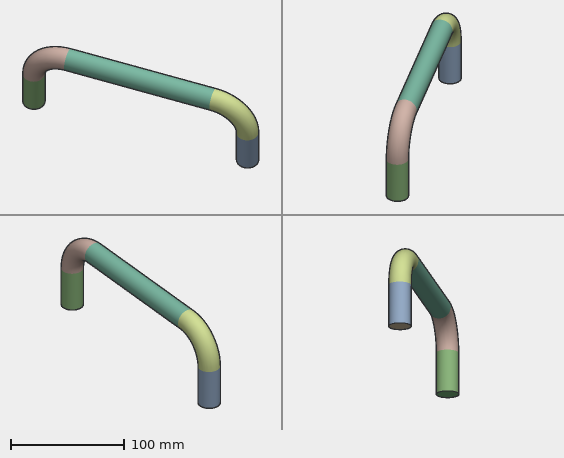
import cadquery as cq
import math

bar_diameter = 20.0
leg_spacing = 200.0
handle_height = 80.0
bend_radius = 32.0

bar_radius = bar_diameter / 2
leg_x = leg_spacing / 2
grip_z = handle_height - bar_radius
bend_start_z = grip_z - bend_radius
grip_end_x = leg_x - bend_radius
bend_mid_offset = bend_radius * math.sin(math.radians(45))


def bend_midpoint(side):
    """Middle of the bend's centreline arc; side is -1 (left) or +1 (right)."""
    return (side * (grip_end_x + bend_mid_offset), bend_start_z + bend_mid_offset)


def handle_centreline():
    """Path up the left leg, along the grip and down the right leg, in the XZ plane."""
    return (
        cq.Workplane("XZ")
        .moveTo(-leg_x, 0)
        .lineTo(-leg_x, bend_start_z)
        .threePointArc(bend_midpoint(-1), (-grip_end_x, grip_z))
        .lineTo(grip_end_x, grip_z)
        .threePointArc(bend_midpoint(1), (leg_x, bend_start_z))
        .lineTo(leg_x, 0)
    )


def round_bar_handle():
    """Sweep the round bar section along the centreline, from the left foot."""
    section = cq.Workplane("XY").center(-leg_x, 0).circle(bar_radius)
    return section.sweep(handle_centreline())


result = round_bar_handle()